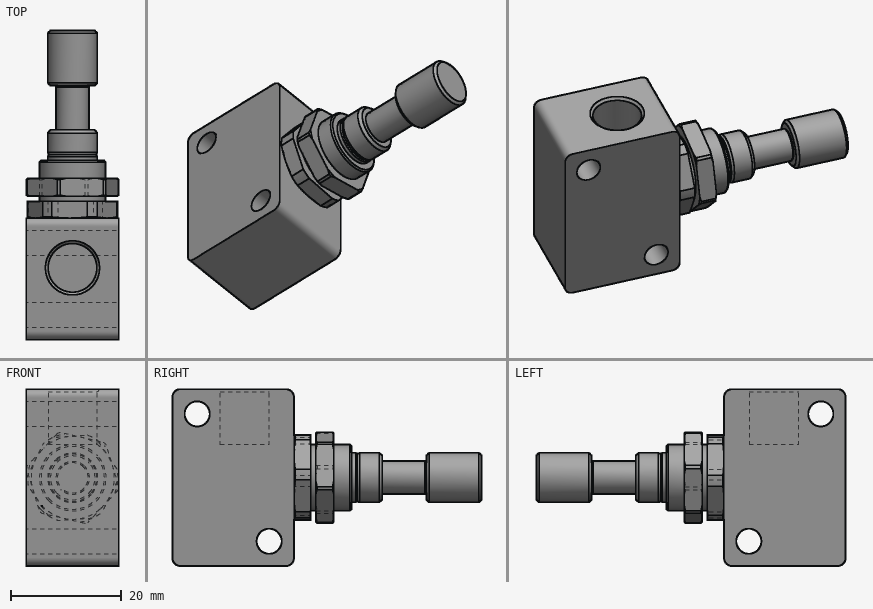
import cadquery as cq
import math


BODY_WIDTH = 16.8
BODY_DEPTH = 22.0
BODY_HEIGHT = 32.0
BODY_EDGE_RADIUS = 1.5

MOUNT_HOLE_DIAMETER = 4.5
MOUNT_HOLE_INSET = 4.5

PORT_DIAMETER = 8.8
PORT_MOUTH_DIAMETER = 9.8
PORT_MOUTH_DEPTH = (PORT_MOUTH_DIAMETER - PORT_DIAMETER) / 2
PORT_DEPTH = 10.0
PORT_FROM_BACK = 9.0

ACROSS_FLATS = 15.0
BASE_HEX_LENGTH = 3.0
BASE_HEX_CORNER_RADIUS = 8.15
BASE_HEX_ANGLE = 4.0
BASE_HEX_CHAMFER_LENGTH = 0.2
BASE_HEX_CHAMFER_DEPTH = BASE_HEX_CORNER_RADIUS - ACROSS_FLATS / 2
NUT_START = 3.95
NUT_LENGTH = 3.2
NUT_CORNER_RADIUS = 8.5
NUT_ANGLE = -13.0
NUT_CHAMFER_LENGTH = 0.2
NUT_CHAMFER_DEPTH = 0.4

THREAD_RADIUS = 6.0
THREAD_END = 10.4
THREAD_CHAMFER = 0.3
CAP_RADIUS = 4.5
CAP_END = 15.95
CAP_CHAMFER_LENGTH = 0.6
CAP_CHAMFER_DEPTH = 0.5
GROOVE_RADIUS = 4.3
GROOVE_CENTER = 11.4
GROOVE_LOWER_EDGE = 11.1
GROOVE_UPPER_EDGE = 11.9
SPINDLE_RADIUS = 3.0
SPINDLE_CHAMFER = 0.25
KNOB_RADIUS = 4.5
KNOB_LENGTH = 10.0
KNOB_END = 33.9
KNOB_START = KNOB_END - KNOB_LENGTH
KNOB_CHAMFER = 0.5


def make_body():
    """Block with rounded edges along X."""
    block = cq.Workplane("XY").box(BODY_WIDTH, BODY_DEPTH, BODY_HEIGHT)
    block = block.edges("|X").fillet(BODY_EDGE_RADIUS)
    return block.translate((0, -BODY_DEPTH / 2, 0))


def make_mount_holes():
    """Two cross holes: upper front corner and lower back corner."""
    hole_height = BODY_HEIGHT / 2 - MOUNT_HOLE_INSET
    centers = [
        (-BODY_DEPTH + MOUNT_HOLE_INSET, hole_height),
        (-MOUNT_HOLE_INSET, -hole_height),
    ]
    holes = cq.Workplane("YZ").pushPoints(centers).circle(MOUNT_HOLE_DIAMETER / 2)
    return holes.extrude(BODY_WIDTH, both=True)


def make_port():
    """Blind port with a 45 degree countersunk mouth, opening upward."""
    top = BODY_HEIGHT / 2
    outline = [
        (0, top),
        (PORT_MOUTH_DIAMETER / 2, top),
        (PORT_DIAMETER / 2, top - PORT_MOUTH_DEPTH),
        (PORT_DIAMETER / 2, top - PORT_DEPTH),
        (0, top - PORT_DEPTH),
    ]
    port = cq.Workplane("XZ").polyline(outline).close().revolve(360, (0, 0), (0, 1))
    return port.translate((0, -PORT_FROM_BACK, 0))


def turn(outline):
    """Revolve a (radius, Y) outline around the stem axis."""
    return cq.Workplane("XY").polyline(outline).close().revolve(360, (0, 0), (0, 1))


def make_hexagon(start, length, angle):
    """Hexagonal prism along +Y; the angle turns a corner from +X toward +Z."""
    corner_diameter = ACROSS_FLATS / math.cos(math.radians(30))
    prism = cq.Workplane("XZ").polygon(6, corner_diameter).extrude(-length)
    return prism.rotate((0, 0, 0), (0, 1, 0), -angle).translate((0, start, 0))


def make_base_hex():
    """Hexagon against the body, with its corners chamfered at the foot."""
    radius = BASE_HEX_CORNER_RADIUS
    envelope = turn([
        (0, 0),
        (radius - BASE_HEX_CHAMFER_DEPTH, 0),
        (radius, BASE_HEX_CHAMFER_LENGTH),
        (radius, BASE_HEX_LENGTH),
        (0, BASE_HEX_LENGTH),
    ])
    return make_hexagon(0, BASE_HEX_LENGTH, BASE_HEX_ANGLE).intersect(envelope)


def make_nut():
    """Panel nut with its corners chamfered on both faces."""
    end = NUT_START + NUT_LENGTH
    face_radius = NUT_CORNER_RADIUS - NUT_CHAMFER_DEPTH
    envelope = turn([
        (0, NUT_START),
        (face_radius, NUT_START),
        (NUT_CORNER_RADIUS, NUT_START + NUT_CHAMFER_LENGTH),
        (NUT_CORNER_RADIUS, end - NUT_CHAMFER_LENGTH),
        (face_radius, end),
        (0, end),
    ])
    return make_hexagon(NUT_START, NUT_LENGTH, NUT_ANGLE).intersect(envelope)


def make_stem():
    """Threaded collar, grooved cap, spindle and knob turned as one piece."""
    return turn([
        (0, 0),
        (THREAD_RADIUS, 0),
        (THREAD_RADIUS, THREAD_END - THREAD_CHAMFER),
        (THREAD_RADIUS - THREAD_CHAMFER, THREAD_END),
        (CAP_RADIUS, THREAD_END),
        (CAP_RADIUS, GROOVE_LOWER_EDGE),
        (GROOVE_RADIUS, GROOVE_CENTER),
        (CAP_RADIUS, GROOVE_UPPER_EDGE),
        (CAP_RADIUS, CAP_END - CAP_CHAMFER_LENGTH),
        (CAP_RADIUS - CAP_CHAMFER_DEPTH, CAP_END),
        (SPINDLE_RADIUS, CAP_END),
        (SPINDLE_RADIUS, KNOB_START - SPINDLE_CHAMFER),
        (SPINDLE_RADIUS - SPINDLE_CHAMFER, KNOB_START),
        (KNOB_RADIUS - KNOB_CHAMFER, KNOB_START),
        (KNOB_RADIUS, KNOB_START + KNOB_CHAMFER),
        (KNOB_RADIUS, KNOB_END - KNOB_CHAMFER),
        (KNOB_RADIUS - KNOB_CHAMFER, KNOB_END),
        (0, KNOB_END),
    ])


body = make_body().cut(make_mount_holes()).cut(make_port())
result = body.union(make_stem()).union(make_base_hex()).union(make_nut())